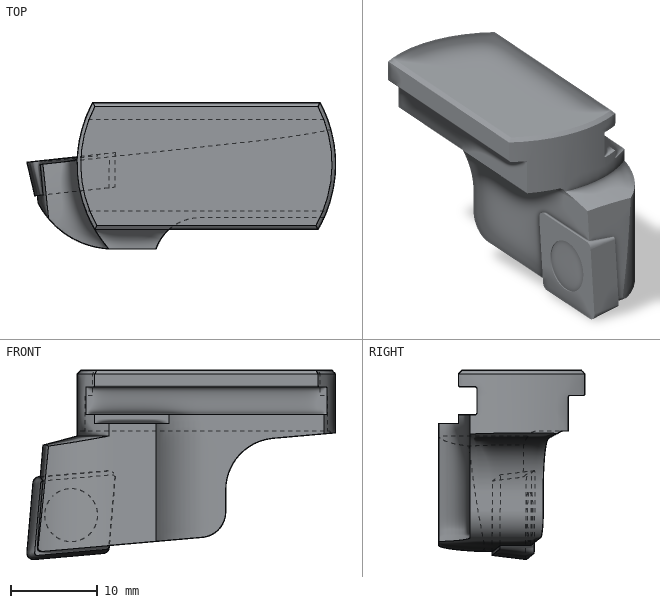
import cadquery as cq
import math


shank_diameter = 30.02
shank_radius = shank_diameter / 2
front_flat_y = -7.57
back_flat_y = 7.15
top_chamfer = 0.43
flange_thickness = 2.95
back_web_y = 5.2
shank_bottom_z = -7.05
corner_fillet = 0.2

groove_top_z = -1.95
groove_bottom_z = -5.15
groove_floor_y = -5.4
ledge_z = -6.17

neck_radius = 9.85
neck_center_x = -10.75
neck_flat_end_x = -5.85
relief_arc_radius = 5.38
relief_arc_end_x = -0.75
recessed_wall_y = -6.2

tilt = 5.0
neck_bottom_z = -19.45
neck_right_x = 2.25
toe_radius = 3.0
throat_radius = 6.0
underside_right_z = -7.28

shoulder_z = -7.65
shoulder_angle = 15.0
rake_angle = 6.2
flank_plan_angle = 6.0
flank_bottom_fillet = 0.43
neck_corner_x = -18.98
neck_corner_z = -8.68
rake_fillet = 1.08

insert_inscribed_diameter = 9.55
insert_thickness = 3.98
insert_corner_angle = 80.0
insert_turn = 45.0
insert_nose_radius = 0.8
insert_clearance_angle = 7.0
insert_center = (-15.7, 0.8, -16.82)
insert_recess_diameter = 6.17
insert_recess_depth = 0.15

reach = 25.1


def tangent(angle):
    return math.tan(math.radians(angle))


def block(x_range, y_range, z_range):
    """Box between the given limits."""
    size = [high - low for low, high in (x_range, y_range, z_range)]
    corner = (x_range[0], y_range[0], z_range[0])
    return cq.Workplane("XY").box(*size, centered=False).translate(corner)


def make_shank():
    """Round-ended head with a back overhang, above the groove bottom and behind the lip."""
    shank = cq.Workplane("XY").circle(shank_radius).extrude(shank_bottom_z)
    shank = shank.intersect(block((-reach, reach), (front_flat_y, back_flat_y), (-reach, 0)))
    shank = shank.faces(">Z").chamfer(top_chamfer)
    back_recess = block((-reach, reach), (back_web_y, reach), (-reach, -flange_thickness))
    back_recess = back_recess.edges("|X and >Z and <Y").fillet(corner_fillet)
    shank = shank.cut(back_recess)
    overhang_edge = cq.selectors.NearestToPointSelector((0, back_flat_y, -flange_thickness))
    return shank.edges(overhang_edge).fillet(corner_fillet)


def neck_plan():
    """Plan of everything below the groove, before the rake face and flank are cut."""
    neck_flat_y = -neck_radius
    left_x = neck_center_x - neck_radius
    diagonal = neck_radius * math.sqrt(0.5)
    relief_center_y = recessed_wall_y - relief_arc_radius
    start_angle = math.atan2(neck_flat_y - relief_center_y, neck_flat_end_x - relief_arc_end_x)
    middle_angle = (start_angle + math.pi / 2) / 2
    relief_middle = (
        relief_arc_end_x + relief_arc_radius * math.cos(middle_angle),
        relief_center_y + relief_arc_radius * math.sin(middle_angle),
    )
    return (
        cq.Workplane("XY").workplane(offset=-reach)
        .moveTo(left_x, back_web_y)
        .lineTo(left_x, 0)
        .threePointArc((neck_center_x - diagonal, -diagonal), (neck_center_x, neck_flat_y))
        .lineTo(neck_flat_end_x, neck_flat_y)
        .threePointArc(relief_middle, (relief_arc_end_x, recessed_wall_y))
        .lineTo(reach, recessed_wall_y)
        .lineTo(reach, back_web_y)
        .close()
        .extrude(reach + groove_bottom_z)
    )


def neck_side_outline():
    """Side outline with a rounded toe and a large throat below the shank."""
    slope = tangent(tilt)
    left_bottom_z = neck_bottom_z - slope * (relief_arc_end_x + reach)
    right_bottom_z = neck_bottom_z + slope * (neck_right_x - relief_arc_end_x)
    throat_z = underside_right_z - slope * (shank_radius - neck_right_x)
    right_top_z = underside_right_z + slope * (reach - shank_radius)
    outline = (
        cq.Workplane("XZ").workplane(offset=-reach)
        .moveTo(-reach, 0)
        .lineTo(-reach, left_bottom_z)
        .lineTo(neck_right_x, right_bottom_z)
        .lineTo(neck_right_x, throat_z)
        .lineTo(reach, right_top_z)
        .lineTo(reach, 0)
        .close()
        .extrude(2 * reach)
    )
    toe = cq.selectors.NearestToPointSelector((neck_right_x, 0, right_bottom_z))
    throat = cq.selectors.NearestToPointSelector((neck_right_x, 0, throat_z))
    return outline.edges(toe).fillet(toe_radius).edges(throat).fillet(throat_radius)


def shoulder_envelope():
    """Shank cylinder that widens below a conical shoulder."""
    outer_z = shoulder_z - (reach - shank_radius) * tangent(shoulder_angle)
    return (
        cq.Workplane("XZ")
        .polyline([
            (0, 0), (shank_radius, 0), (shank_radius, shoulder_z),
            (reach, outer_z), (reach, -reach), (0, -reach),
        ])
        .close()
        .revolve(360, (0, 0, 0), (0, 1, 0))
    )


def rake_cutter():
    """Space behind the rake face, rounded where it meets the shank underside."""
    start = (neck_corner_x, 0, 0)
    cutter = block((-reach, 2 * reach), (0, reach), (-reach, shank_bottom_z))
    cutter = cutter.edges("|X and >Z and <Y").fillet(rake_fillet)
    return cutter.rotate((0, 0, 0), (0, 0, 1), rake_angle).translate(start)


def flank_cutter():
    """Space to the left of the flank, which leans in both plan and side outline."""
    normal = cq.Vector(-1, -tangent(flank_plan_angle), tangent(tilt))
    plane = cq.Plane((neck_corner_x, 0, neck_corner_z), (tangent(tilt), 0, 1), normal)
    return cq.Workplane(plane).rect(2 * reach, 2 * reach).extrude(reach)


def make_neck():
    neck = neck_plan().intersect(neck_side_outline()).intersect(shoulder_envelope())
    ledge_space = block((-reach, reach), (-reach, front_flat_y), (ledge_z, 0))
    neck = neck.cut(ledge_space).cut(rake_cutter()).cut(flank_cutter())
    flank_bottom_edge = neck.faces("<X").edges("<Z")
    return neck.newObject(flank_bottom_edge.vals()).fillet(flank_bottom_fillet)


def front_groove():
    groove = block((-reach, reach), (-reach, groove_floor_y), (groove_bottom_z, groove_top_z))
    return groove.edges("|X and >Y").fillet(corner_fillet)


def below_groove_front():
    """Part of the shank below the groove that the neck plan replaces."""
    return block((-reach, reach), (-reach, groove_floor_y), (-reach, groove_bottom_z))


def insert_plane():
    """Plane of the insert's top face, its normal pointing into the insert."""
    angle = math.radians(rake_angle)
    return cq.Plane(
        insert_center,
        (math.cos(angle), math.sin(angle), 0),
        (math.sin(angle), -math.cos(angle), 0),
    )


def insert_blank():
    """Tapered rhombus with its sharp corner at the lower left and its top on the rake side."""
    half_angle = math.radians(insert_corner_angle / 2)
    nose_inset = insert_inscribed_diameter / 2 - insert_nose_radius
    long_half = nose_inset / math.sin(half_angle)
    short_half = nose_inset / math.cos(half_angle)
    return (
        cq.Workplane(insert_plane().rotated((0, 0, insert_turn)))
        .polyline([(-long_half, 0), (0, -short_half), (long_half, 0), (0, short_half)])
        .close()
        .offset2D(insert_nose_radius)
        .extrude(insert_thickness, taper=insert_clearance_angle)
    )


def make_insert():
    recess = cq.Workplane(insert_plane()).circle(insert_recess_diameter / 2).extrude(insert_recess_depth)
    return insert_blank().cut(recess)


def make_holder():
    shank = make_shank().cut(below_groove_front())
    holder = shank.union(make_neck()).cut(front_groove())
    flange_edge = cq.selectors.NearestToPointSelector((0, front_flat_y, groove_top_z))
    return holder.edges(flange_edge).fillet(corner_fillet).cut(insert_blank())


holder = make_holder()
insert = make_insert()
result = cq.Compound.makeCompound([holder.val(), insert.val()])